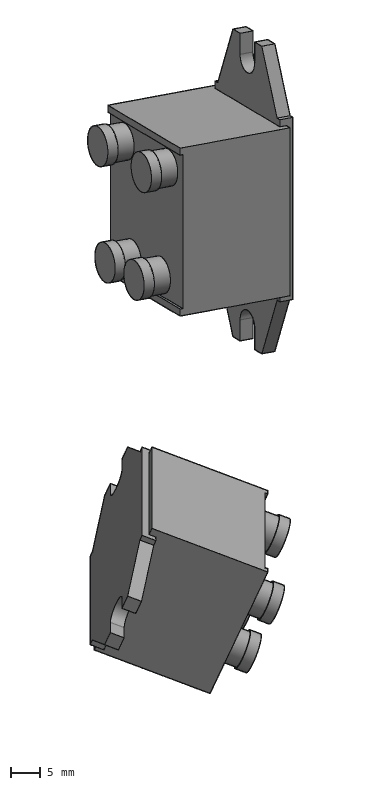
import cadquery as cq

total_depth = 27.65
housing_width = 25.4
housing_height = 30.5
housing_depth = 21.55
lip_height = 1.3
lip_depth = 0.5

plate_width = 22.85
plate_height = 33.1
plate_thickness = 2.55
plate_overlap = plate_thickness / 2

ear_span = 55.9
ear_base_width = 20.9
ear_tip_width = 10.15
slot_width = 5.1
slot_depth = 6.35

head_diameter = 7.15
head_length = 2.0
neck_diameter = 6.6
terminal_height = 10.15
upper_half_spacing = 7.65
lower_half_spacing = 5.1

back_y = total_depth / 2
front_y = -back_y
housing_back_y = back_y - plate_overlap
housing_front_y = housing_back_y - housing_depth
recess_y = housing_front_y + lip_depth


def front_plane(y):
    """Work plane facing -Y at depth y, with local X and Y along X and Z."""
    return cq.Workplane("XZ", origin=(0, y, 0))


def make_housing():
    block = front_plane(housing_back_y).rect(housing_width, housing_height).extrude(housing_depth)
    recess_height = housing_height - 2 * lip_height
    recess = front_plane(recess_y).rect(housing_width, recess_height).extrude(lip_depth)
    return block.cut(recess)


def make_plate():
    plate = front_plane(back_y).rect(plate_width, plate_height).extrude(plate_thickness)
    base_z = plate_height / 2
    tip_z = ear_span / 2
    slot_radius = slot_width / 2
    slot_floor_z = tip_z - slot_depth
    arc_z = slot_floor_z + slot_radius
    for angle in (0, 180):
        ear = (
            front_plane(back_y)
            .moveTo(-ear_base_width / 2, base_z)
            .lineTo(-ear_tip_width / 2, tip_z)
            .lineTo(-slot_radius, tip_z)
            .lineTo(-slot_radius, arc_z)
            .threePointArc((0, slot_floor_z), (slot_radius, arc_z))
            .lineTo(slot_radius, tip_z)
            .lineTo(ear_tip_width / 2, tip_z)
            .lineTo(ear_base_width / 2, base_z)
            .close()
            .extrude(plate_thickness)
        )
        plate = plate.union(ear.rotate((0, 0, 0), (0, 1, 0), angle))
    return plate


def make_terminal(x, z):
    head_back_y = front_y + head_length
    neck_length = recess_y - head_back_y
    neck = front_plane(recess_y).center(x, z).circle(neck_diameter / 2).extrude(neck_length)
    head = front_plane(head_back_y).center(x, z).circle(head_diameter / 2).extrude(head_length)
    return neck.union(head)


result = make_housing().union(make_plate())
for half_spacing, z in ((upper_half_spacing, terminal_height), (lower_half_spacing, -terminal_height)):
    for side in (-1, 1):
        result = result.union(make_terminal(side * half_spacing, z))